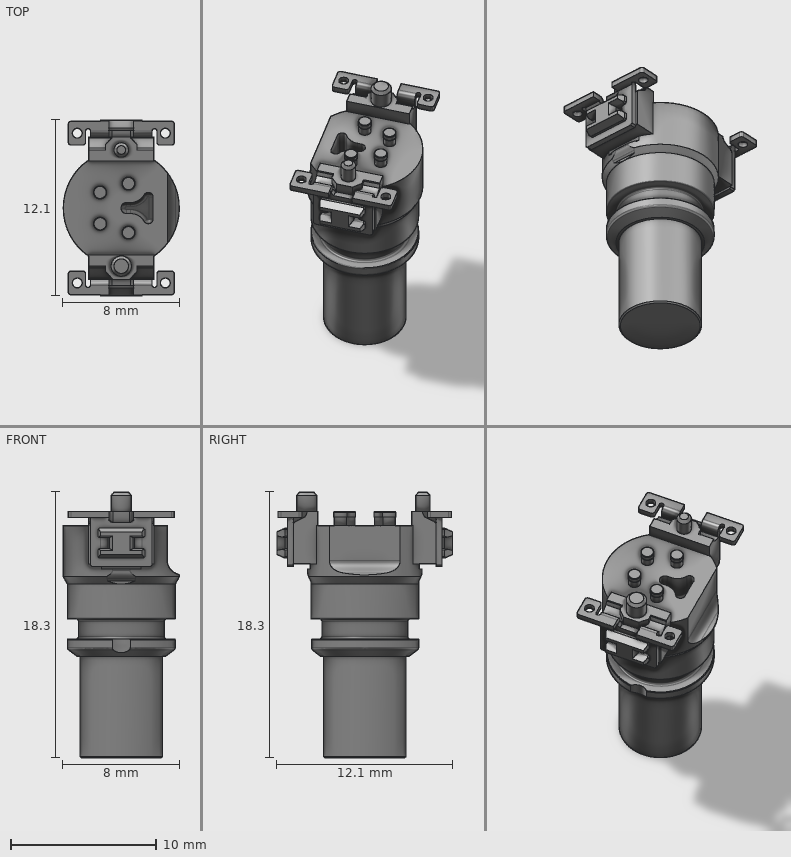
import cadquery as cq
import math

BARREL_RADIUS = 2.85
BARREL_END_CHAMFER = 0.1
FLANGE_CONE_RADIUS = 3.05
FLANGE_RADIUS = 3.72
NECK_RADIUS = 2.96
HEAD_RADIUS = 4.0
FLANGE_CONE_BOTTOM = 7.0
FLANGE_EDGE_BOTTOM = 7.5
FLANGE_TOP = 8.18
COLLAR_BOTTOM = 9.57
COLLAR_TOP = 11.97
HEAD_BOTTOM = 12.48
HEAD_TOP = 16.0
FLANGE_CONE_FILLET = 0.2
EDGE_ROUNDING = 0.05
NECK_LOWER_FILLET = 0.2
NECK_UPPER_FILLET = 0.16

SIDE_FLAT_X = 3.17
SIDE_FLAT_BOTTOM = 13.6
RUNOUT_RADIUS = 0.95
RUNOUT_ANGLE = 65
SEAT_FLAT_Y = 3.76
SEAT_FLAT_BOTTOM = 13.02
LIP_FLAT_Y = 3.955
LIP_FLAT_BOTTOM = 12.91
LIP_RAMP_MID = (3.9, 12.56)
LIP_RAMP_Y = 3.8
LIP_RAMP_BOTTOM = 12.34
LIP_RELIEF_Y = 3.72
LIP_RELIEF_TOP = 12.18
KEY_NOTCH_HALF_WIDTH = 0.62
KEY_NOTCH_INNER_Y = 3.38

POCKET_DEPTH = 2.0
POCKET_FLOOR_FILLET = 0.28
POCKET_NOSE_X = 0.36
POCKET_NOSE_RADIUS = 0.38
POCKET_TIP_X = 1.86
POCKET_TIP_Y = 0.75
POCKET_TIP_RADIUS = 0.33
POCKET_FLANK_ANGLE = 60

CONTACT_POSITIONS = [(-1.46, 1.08), (-1.46, -1.08), (0.495, 1.69), (0.495, -1.69)]
CONTACT_SHAFT_RADIUS = 0.42
CONTACT_HEAD_RADIUS = 0.455
CONTACT_HEAD_BOTTOM = 16.59
CONTACT_CHAMFER = 0.06

BLOCK_HALF_WIDTH = 2.25
BLOCK_INNER_Y = 3.23
BLOCK_OUTER_Y = 4.91
BLOCK_BOTTOM = 13.36
BLOCK_TOP = 16.97
PROW_HALF_WIDTH = 1.08
PROW_TIP_HALF_WIDTH = 0.58
PROW_BEVEL_START_Y = 4.38
SHOULDER_Y = 3.985
SHOULDER_BEVEL_RISE = 0.25
SHOULDER_SLOPE_Y = 4.12
SHOULDER_SLOPE_TOP = 16.6
SHOULDER_SLOPE_END_Y = 4.81
SHOULDER_SLOPE_BOTTOM = 16.26
SHOULDER_FOOT = 16.14

TOTAL_HEIGHT = 18.3
PEG_Y = 4.0
LARGE_PEG_RADIUS = 0.7
SMALL_PEG_RADIUS = 0.5
PEG_CHAMFER_WIDTH = 0.2
PEG_CHAMFER_HEIGHT = 0.22

SHEET = 0.42
BEND_RADIUS = 0.41
PLATE_HALF_WIDTH = 2.125
PLATE_BOTTOM = 13.17
PLATE_CORNER = 0.12
TAB_HALF_LENGTH = 3.655
TAB_OUTER_Y = 5.98
EAR_INNER_Y = 4.335
EAR_INNER_X = 2.45
EAR_CORNER = 0.2
RELIEF_END_Y = 5.46
EAR_HOLE_X = 3.03
EAR_HOLE_Y = 5.155
EAR_HOLE_RADIUS = 0.33
GAP_HALF_WIDTH = 0.85
GAP_BOTTOM = 16.22
GAP_CORNER = 0.2
WINDOW_HALF_LENGTH = 0.9
WINDOW_EDGE_RADIUS = 0.52

RIVET_OUTER_Y = 6.05
RIVET_TAPER_START_Y = 5.5
RIVET_MID_Z = 14.79
RIVET_BASE_HALF_LENGTH = 1.617
RIVET_BASE_HALF_HEIGHT = 1.03
RIVET_FACE_HALF_LENGTH = 1.43
RIVET_FACE_HALF_HEIGHT = 0.785
RIVET_CORNER = 0.1
RIVET_NOTCH_FACE_X = 0.6
RIVET_NOTCH_ROOT_X = 0.8
RIVET_NOTCH_FACE_HALF_HEIGHT = 0.5
RIVET_NOTCH_ROOT_HALF_HEIGHT = 0.38

MARGIN = 1.0


def box_between(x_range, y_range, z_range):
    """Box spanning the given coordinate ranges."""
    size = [r[1] - r[0] for r in (x_range, y_range, z_range)]
    corner = (x_range[0], y_range[0], z_range[0])
    return cq.Workplane("XY").box(*size, centered=False).translate(corner)


def cylinder(x, y, bottom, top, radius):
    """Vertical cylinder."""
    return cq.Workplane("XY", origin=(x, y, bottom)).circle(radius).extrude(top - bottom)


def both_ends(shape):
    """The +Y shape together with its mirror image on the -Y end."""
    return shape.union(shape.mirror("XZ"))


def turned_body():
    """Revolved barrel, flange, neck, collar and head."""
    diagonal = math.sqrt(0.5)

    def fillet_mid(radius, z, direction):
        rise = radius * (1 - diagonal)
        return (NECK_RADIUS + rise, z + direction * rise)

    def rim_edge(solid, z):
        def on_rim(edge):
            at_height = abs(edge.Center().z - z) < EDGE_ROUNDING
            return at_height and edge.BoundingBox().xmax > FLANGE_RADIUS - EDGE_ROUNDING

        return solid.edges("%CIRCLE").filter(on_rim)

    turned = (
        cq.Workplane("XZ")
        .moveTo(0, 0)
        .lineTo(BARREL_RADIUS - BARREL_END_CHAMFER, 0)
        .lineTo(BARREL_RADIUS, BARREL_END_CHAMFER)
        .lineTo(BARREL_RADIUS, FLANGE_CONE_BOTTOM)
        .lineTo(FLANGE_CONE_RADIUS, FLANGE_CONE_BOTTOM)
        .lineTo(FLANGE_RADIUS, FLANGE_EDGE_BOTTOM)
        .lineTo(FLANGE_RADIUS, FLANGE_TOP)
        .lineTo(NECK_RADIUS + NECK_LOWER_FILLET, FLANGE_TOP)
        .threePointArc(
            fillet_mid(NECK_LOWER_FILLET, FLANGE_TOP, 1),
            (NECK_RADIUS, FLANGE_TOP + NECK_LOWER_FILLET),
        )
        .lineTo(NECK_RADIUS, COLLAR_BOTTOM - NECK_UPPER_FILLET)
        .threePointArc(
            fillet_mid(NECK_UPPER_FILLET, COLLAR_BOTTOM, -1),
            (NECK_RADIUS + NECK_UPPER_FILLET, COLLAR_BOTTOM),
        )
        .lineTo(FLANGE_RADIUS, COLLAR_BOTTOM)
        .lineTo(FLANGE_RADIUS, COLLAR_TOP)
        .lineTo(HEAD_RADIUS, HEAD_BOTTOM)
        .lineTo(HEAD_RADIUS, HEAD_TOP)
        .lineTo(0, HEAD_TOP)
        .close()
        .revolve(360, (0, 0, 0), (0, 1, 0))
    )
    turned = rim_edge(turned, FLANGE_EDGE_BOTTOM).fillet(FLANGE_CONE_FILLET)
    turned = rim_edge(turned, FLANGE_TOP).fillet(EDGE_ROUNDING)
    return rim_edge(turned, COLLAR_BOTTOM).fillet(EDGE_ROUNDING)


def side_flat_cut():
    """Flat on the +X side of the head, running out along an arc and its tangent."""
    outer_x = HEAD_RADIUS + MARGIN

    def arc_point(degrees):
        angle = math.radians(degrees)
        x = SIDE_FLAT_X + RUNOUT_RADIUS * (1 - math.cos(angle))
        return (x, SIDE_FLAT_BOTTOM - RUNOUT_RADIUS * math.sin(angle))

    arc_end = arc_point(RUNOUT_ANGLE)
    tangent_drop = (outer_x - arc_end[0]) / math.tan(math.radians(RUNOUT_ANGLE))
    return (
        cq.Workplane("XZ")
        .moveTo(SIDE_FLAT_X, HEAD_TOP + MARGIN)
        .lineTo(SIDE_FLAT_X, SIDE_FLAT_BOTTOM)
        .threePointArc(arc_point(RUNOUT_ANGLE / 2), arc_end)
        .lineTo(outer_x, arc_end[1] - tangent_drop)
        .lineTo(outer_x, HEAD_TOP + MARGIN)
        .close()
        .extrude(HEAD_RADIUS, both=True)
    )


def seat_cut():
    """Flat behind the side block and the stepped relief across the lip below it."""
    outer_y = HEAD_RADIUS + MARGIN
    return (
        cq.Workplane("YZ")
        .moveTo(outer_y, HEAD_TOP + MARGIN)
        .lineTo(SEAT_FLAT_Y, HEAD_TOP + MARGIN)
        .lineTo(SEAT_FLAT_Y, SEAT_FLAT_BOTTOM)
        .lineTo(LIP_FLAT_Y, SEAT_FLAT_BOTTOM)
        .lineTo(LIP_FLAT_Y, LIP_FLAT_BOTTOM)
        .threePointArc(LIP_RAMP_MID, (LIP_RAMP_Y, LIP_RAMP_BOTTOM))
        .lineTo(LIP_RELIEF_Y, LIP_RELIEF_TOP)
        .lineTo(LIP_RELIEF_Y, COLLAR_TOP)
        .lineTo(outer_y, COLLAR_TOP)
        .close()
        .extrude(HEAD_RADIUS, both=True)
    )


def key_notch_cut():
    """Round vertical notch in the flange rim on the -Y side."""
    rim_y = math.sqrt(FLANGE_RADIUS**2 - KEY_NOTCH_HALF_WIDTH**2)
    depth = rim_y - KEY_NOTCH_INNER_Y
    radius = (KEY_NOTCH_HALF_WIDTH**2 + depth**2) / (2 * depth)
    return cylinder(0, -KEY_NOTCH_INNER_Y - radius, FLANGE_CONE_BOTTOM, FLANGE_TOP, radius)


def key_pocket_cut():
    """Three-pointed pocket in the top face; tangent concave flanks join its nose and tips."""
    flank_angle = math.radians(POCKET_FLANK_ANGLE)

    def tip_point(angle):
        x = POCKET_TIP_X - POCKET_TIP_RADIUS * math.sin(angle)
        return (x, POCKET_TIP_Y + POCKET_TIP_RADIUS * math.cos(angle))

    flank_end = tip_point(flank_angle)
    flank_rise = flank_end[1] - POCKET_NOSE_RADIUS
    flank_radius = flank_rise / (1 - math.cos(flank_angle))
    flank_start_x = flank_end[0] - flank_radius * math.sin(flank_angle)
    flank_mid = (
        flank_start_x + flank_radius * math.sin(flank_angle / 2),
        POCKET_NOSE_RADIUS + flank_radius * (1 - math.cos(flank_angle / 2)),
    )
    edge_x = POCKET_TIP_X + POCKET_TIP_RADIUS
    tip_mid = tip_point((flank_angle - math.pi / 2) / 2)

    def mirrored(point):
        return (point[0], -point[1])

    pocket = (
        cq.Workplane("XY", origin=(0, 0, HEAD_TOP - POCKET_DEPTH))
        .moveTo(POCKET_NOSE_X, -POCKET_NOSE_RADIUS)
        .lineTo(flank_start_x, -POCKET_NOSE_RADIUS)
        .threePointArc(mirrored(flank_mid), mirrored(flank_end))
        .threePointArc(mirrored(tip_mid), (edge_x, -POCKET_TIP_Y))
        .lineTo(edge_x, POCKET_TIP_Y)
        .threePointArc(tip_mid, flank_end)
        .threePointArc(flank_mid, (flank_start_x, POCKET_NOSE_RADIUS))
        .lineTo(POCKET_NOSE_X, POCKET_NOSE_RADIUS)
        .threePointArc(
            (POCKET_NOSE_X - POCKET_NOSE_RADIUS, 0), (POCKET_NOSE_X, -POCKET_NOSE_RADIUS)
        )
        .close()
        .extrude(POCKET_DEPTH)
    )
    return pocket.faces("<Z").edges().fillet(POCKET_FLOOR_FILLET)


def contact(x, y):
    """Contact pin with a wider, chamfered head."""
    shaft = cylinder(x, y, HEAD_TOP - MARGIN, BLOCK_TOP, CONTACT_SHAFT_RADIUS)
    head = cylinder(x, y, CONTACT_HEAD_BOTTOM, BLOCK_TOP, CONTACT_HEAD_RADIUS)
    return shaft.union(head.faces(">Z").chamfer(CONTACT_CHAMFER))


def peg(y, radius):
    """Locating peg standing on a side block."""
    body = cylinder(0, y, BLOCK_TOP - MARGIN, TOTAL_HEIGHT, radius)
    return body.faces(">Z").edges().chamfer(PEG_CHAMFER_HEIGHT, PEG_CHAMFER_WIDTH)


def side_block():
    """Block on the +Y side with sloped shoulders beside a pointed central prow."""
    block = box_between(
        (-BLOCK_HALF_WIDTH, BLOCK_HALF_WIDTH),
        (BLOCK_INNER_Y, BLOCK_OUTER_Y),
        (BLOCK_BOTTOM, BLOCK_TOP),
    )
    shoulders = (
        cq.Workplane("YZ")
        .moveTo(SHOULDER_Y, BLOCK_TOP)
        .lineTo(SHOULDER_Y, SHOULDER_SLOPE_TOP + SHOULDER_BEVEL_RISE)
        .lineTo(SHOULDER_SLOPE_Y, SHOULDER_SLOPE_TOP)
        .lineTo(SHOULDER_SLOPE_END_Y, SHOULDER_SLOPE_BOTTOM)
        .lineTo(BLOCK_OUTER_Y, SHOULDER_FOOT)
        .lineTo(BLOCK_OUTER_Y, BLOCK_TOP)
        .close()
        .extrude(BLOCK_HALF_WIDTH, both=True)
    )
    prow_outline = [
        (-PROW_HALF_WIDTH, BLOCK_INNER_Y),
        (PROW_HALF_WIDTH, BLOCK_INNER_Y),
        (PROW_HALF_WIDTH, PROW_BEVEL_START_Y),
        (PROW_TIP_HALF_WIDTH, BLOCK_OUTER_Y),
        (-PROW_TIP_HALF_WIDTH, BLOCK_OUTER_Y),
        (-PROW_HALF_WIDTH, PROW_BEVEL_START_Y),
    ]
    prow = (
        cq.Workplane("XY", origin=(0, 0, BLOCK_BOTTOM))
        .polyline(prow_outline)
        .close()
        .extrude(BLOCK_TOP - BLOCK_BOTTOM)
    )
    return block.cut(shoulders.cut(prow))


def bent_plate():
    """Upright sheet on the +Y block, bent outward into two eared tabs."""
    plate_outer_y = BLOCK_OUTER_Y + SHEET
    tab_z = (BLOCK_TOP - SHEET, BLOCK_TOP)

    upright = box_between(
        (-PLATE_HALF_WIDTH, PLATE_HALF_WIDTH),
        (BLOCK_OUTER_Y, plate_outer_y),
        (PLATE_BOTTOM, BLOCK_TOP),
    )
    upright = upright.edges("|Y and <Z").chamfer(PLATE_CORNER)
    upright = upright.edges("<Y and >Z").fillet(BEND_RADIUS)

    strip = box_between(
        (-TAB_HALF_LENGTH, TAB_HALF_LENGTH), (plate_outer_y, TAB_OUTER_Y), tab_z
    )
    plate = upright.union(strip)
    for side in (-1, 1):
        ear_x = sorted((side * EAR_INNER_X, side * TAB_HALF_LENGTH))
        plate = plate.union(box_between(ear_x, (EAR_INNER_Y, TAB_OUTER_Y), tab_z))
        plate = plate.cut(relief_slot(side, tab_z))
        hole = cylinder(side * EAR_HOLE_X, EAR_HOLE_Y, *tab_z, EAR_HOLE_RADIUS)
        plate = plate.cut(hole)
    ear_selector = cq.selectors.BoxSelector(
        (-TAB_HALF_LENGTH - MARGIN, EAR_INNER_Y - MARGIN, tab_z[0] - SHEET),
        (TAB_HALF_LENGTH + MARGIN, EAR_INNER_Y + SHEET, tab_z[1] + SHEET),
    )
    plate = plate.edges("|Z").edges(ear_selector).fillet(EAR_CORNER)
    plate = plate.edges("|Z and >Y").fillet(EAR_CORNER)
    return plate.cut(gap_cut()).cut(window_cut())


def relief_slot(side, z_range):
    """Round-ended slot separating an ear from the bend."""
    width = EAR_INNER_X - PLATE_HALF_WIDTH
    x_mid = side * (EAR_INNER_X + PLATE_HALF_WIDTH) / 2
    end_y = RELIEF_END_Y - width / 2
    x_range = (x_mid - width / 2, x_mid + width / 2)
    straight = box_between(x_range, (EAR_INNER_Y, end_y), z_range)
    return straight.union(cylinder(x_mid, end_y, *z_range, width / 2))


def gap_cut():
    """Chamfered central gap parting the two tabs and the top of the upright."""
    gap = box_between(
        (-GAP_HALF_WIDTH, GAP_HALF_WIDTH),
        (BLOCK_OUTER_Y, TAB_OUTER_Y + MARGIN),
        (GAP_BOTTOM, BLOCK_TOP + MARGIN),
    )
    return gap.edges("|Y and <Z").chamfer(GAP_CORNER)


def window_cut():
    """Window for the rivet, its two ends rounded over on the outside."""
    plate_outer_y = BLOCK_OUTER_Y + SHEET
    mouth_x = WINDOW_HALF_LENGTH + WINDOW_EDGE_RADIUS
    rounding_y = plate_outer_y - WINDOW_EDGE_RADIUS
    arc_step = WINDOW_EDGE_RADIUS * math.sqrt(0.5)
    arc_mid = (mouth_x - arc_step, rounding_y + arc_step)
    return (
        cq.Workplane("XY", origin=(0, 0, RIVET_MID_Z - RIVET_NOTCH_ROOT_HALF_HEIGHT))
        .moveTo(-WINDOW_HALF_LENGTH, rounding_y)
        .lineTo(WINDOW_HALF_LENGTH, rounding_y)
        .threePointArc(arc_mid, (mouth_x, plate_outer_y))
        .lineTo(-mouth_x, plate_outer_y)
        .threePointArc((-arc_mid[0], arc_mid[1]), (-WINDOW_HALF_LENGTH, rounding_y))
        .close()
        .extrude(2 * RIVET_NOTCH_ROOT_HALF_HEIGHT)
    )


def rivet_frustum(y_start, y_end, start_x, end_x, start_half_height, end_half_height):
    """Frustum along +Y between two rectangles centred on the rivet height."""

    def rectangle(y, x_range, half_height):
        low_z = RIVET_MID_Z - half_height
        high_z = RIVET_MID_Z + half_height
        corners = [(x_range[0], low_z), (x_range[1], low_z), (x_range[1], high_z), (x_range[0], high_z)]
        return cq.Wire.makePolygon([cq.Vector(x, y, z) for x, z in corners], close=True)

    start = rectangle(y_start, start_x, start_half_height)
    end = rectangle(y_end, end_x, end_half_height)
    return cq.Workplane(cq.Solid.makeLoft([start, end], True))


def rivet_head():
    """H-shaped rivet head standing through the plate from the block."""
    plate_outer_y = BLOCK_OUTER_Y + SHEET
    base_x = (-RIVET_BASE_HALF_LENGTH, RIVET_BASE_HALF_LENGTH)
    face_x = (-RIVET_FACE_HALF_LENGTH, RIVET_FACE_HALF_LENGTH)
    base_z = (RIVET_MID_Z - RIVET_BASE_HALF_HEIGHT, RIVET_MID_Z + RIVET_BASE_HALF_HEIGHT)
    root_z = (RIVET_MID_Z - RIVET_NOTCH_ROOT_HALF_HEIGHT, RIVET_MID_Z + RIVET_NOTCH_ROOT_HALF_HEIGHT)
    full_y = (plate_outer_y, RIVET_OUTER_Y)

    head = box_between((-RIVET_NOTCH_ROOT_X, RIVET_NOTCH_ROOT_X), full_y, base_z)
    for bar_z in ((base_z[0], root_z[0]), (root_z[1], base_z[1])):
        head = head.union(box_between(base_x, full_y, bar_z).edges("|Y").chamfer(RIVET_CORNER))

    taper = rivet_frustum(
        RIVET_TAPER_START_Y, RIVET_OUTER_Y, base_x, face_x, RIVET_BASE_HALF_HEIGHT, RIVET_FACE_HALF_HEIGHT
    )
    envelope = box_between(base_x, (plate_outer_y, RIVET_TAPER_START_Y), base_z).union(taper)
    head = head.intersect(envelope)
    for side in (-1, 1):
        notch_flare = rivet_frustum(
            RIVET_TAPER_START_Y,
            RIVET_OUTER_Y,
            sorted((side * RIVET_NOTCH_ROOT_X, side * RIVET_BASE_HALF_LENGTH)),
            sorted((side * RIVET_NOTCH_FACE_X, side * RIVET_BASE_HALF_LENGTH)),
            RIVET_NOTCH_ROOT_HALF_HEIGHT,
            RIVET_NOTCH_FACE_HALF_HEIGHT,
        )
        head = head.cut(notch_flare)
    stem = box_between(
        (-RIVET_NOTCH_ROOT_X, RIVET_NOTCH_ROOT_X),
        (BLOCK_OUTER_Y - SHEET, plate_outer_y),
        root_z,
    )
    return head.union(stem)


body = turned_body().cut(side_flat_cut()).cut(both_ends(seat_cut()))
body = body.cut(key_notch_cut()).cut(key_pocket_cut())
for contact_x, contact_y in CONTACT_POSITIONS:
    body = body.union(contact(contact_x, contact_y))

end_assembly = side_block().union(bent_plate()).union(rivet_head())
result = body.union(both_ends(end_assembly))
result = result.union(peg(-PEG_Y, LARGE_PEG_RADIUS)).union(peg(PEG_Y, SMALL_PEG_RADIUS))